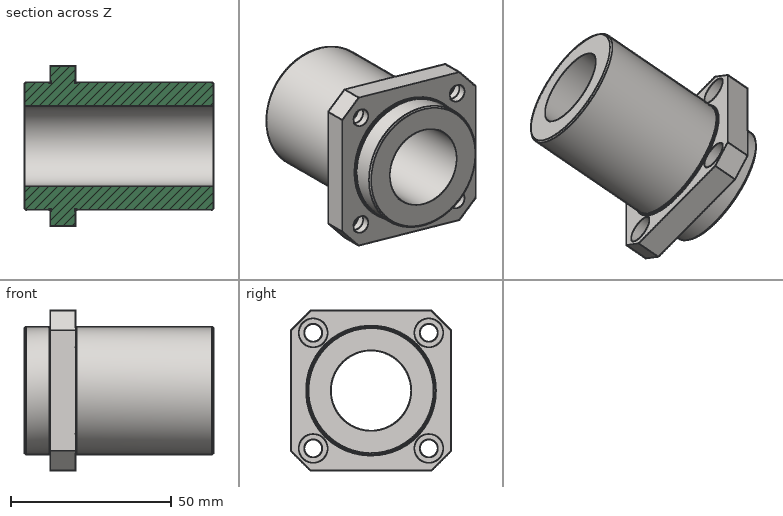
import cadquery as cq
import math

sleeve_length = 59.0
sleeve_diameter = 40.0
bore_diameter = 25.0
end_chamfer = 0.5

flange_width = 50.0
flange_across_corners = 62.0
flange_thickness = 8.0
flange_front = 8.0
flange_back = flange_front + flange_thickness
corner_cut = flange_width - flange_across_corners / math.sqrt(2)

root_relief = 0.3

bolt_circle_diameter = 51.0
bolt_hole_diameter = 5.5
counterbore_diameter = 9.0
counterbore_depth = 5.1
bolt_spacing = bolt_circle_diameter / math.sqrt(2)


def make_sleeve():
    """Solid round body with both end rims chamfered."""
    body = cq.Workplane("YZ").circle(sleeve_diameter / 2).extrude(sleeve_length)
    return body.faces("<X or >X").edges().chamfer(end_chamfer)


def make_flange():
    """Square plate with its four corners cut at 45 degrees."""
    plate = (
        cq.Workplane("YZ", origin=(flange_front, 0, 0))
        .rect(flange_width, flange_width)
        .extrude(flange_thickness)
    )
    return plate.edges("|X").chamfer(corner_cut)


def cut_root_reliefs(part):
    """Cut a small ring groove where the sleeve meets each flange face."""
    for flange_face in (flange_front, flange_back):
        groove = (
            cq.Workplane("YZ", origin=(flange_face - root_relief, 0, 0))
            .circle(sleeve_diameter / 2 + root_relief)
            .circle(sleeve_diameter / 2 - root_relief)
            .extrude(2 * root_relief)
        )
        part = part.cut(groove)
    return part


def cut_bore(part):
    """Cut the straight bore through the whole length."""
    bore = cq.Workplane("YZ").circle(bore_diameter / 2).extrude(sleeve_length)
    return part.cut(bore)


def bolt_pattern_cylinders(diameter, start_x):
    """Four cylinders on the bolt pattern, from start_x to the back of the flange."""
    return (
        cq.Workplane("YZ", origin=(start_x, 0, 0))
        .rect(bolt_spacing, bolt_spacing, forConstruction=True)
        .vertices()
        .circle(diameter / 2)
        .extrude(flange_back - start_x)
    )


def cut_bolt_holes(part):
    """Cut the four through holes and their counterbores."""
    part = part.cut(bolt_pattern_cylinders(bolt_hole_diameter, flange_front))
    return part.cut(bolt_pattern_cylinders(counterbore_diameter, flange_back - counterbore_depth))


result = make_sleeve().union(make_flange())
result = cut_root_reliefs(result)
result = cut_bore(result)
result = cut_bolt_holes(result)